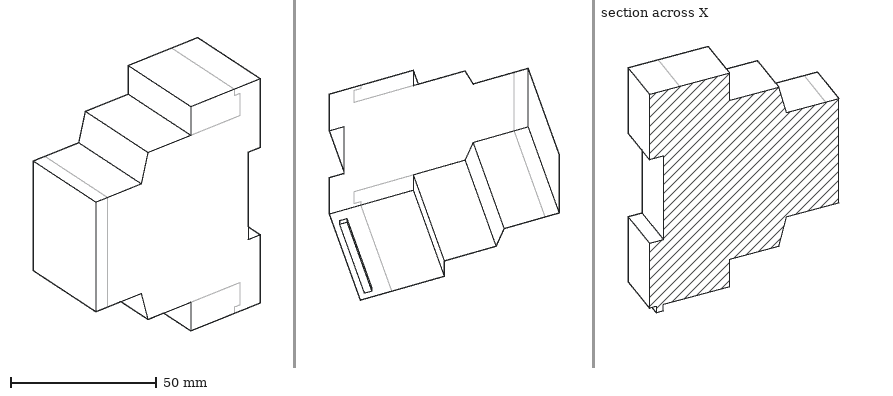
import cadquery as cq

width = 35.05
depth = 71.88
overall_height = 92.71
body_height = 90.0
half_height = body_height / 2

terminal_depth = 30.4
shoulder_depth = 49.1
neck_depth = 52.0
front_cover_thickness = 5.1
shoulder_half_height = 33.5
front_half_height = 22.0

rail_opening = 35.0
rail_recess_depth = 5.3
rail_top = 17.4
rail_bottom = rail_top - rail_opening

cover_rear = -8.9
cover_step_depth = 2.5
cover_step_height = 2.6
cover_step_y = cover_rear - cover_step_depth
cover_step_z = half_height - cover_step_height

clip_width = 28.0
clip_thickness = 2.7
clip_height = overall_height - body_height


def extrude_profile(points):
    """Extrude a closed (Y, Z) outline over the full width, centred on X = 0."""
    return cq.Workplane("YZ").polyline(points).close().extrude(width / 2, both=True)


def make_body():
    """Middle of the housing, without the front cover and terminal covers."""
    front = -(depth - front_cover_thickness)
    upper = [
        (0, half_height),
        (cover_step_y, half_height),
        (cover_step_y, cover_step_z),
        (cover_rear, cover_step_z),
        (cover_rear, shoulder_half_height),
        (-shoulder_depth, shoulder_half_height),
        (-neck_depth, front_half_height),
        (front, front_half_height),
    ]
    lower = [(y, -z) for y, z in reversed(upper)]
    recess = [
        (0, rail_bottom),
        (-rail_recess_depth, rail_bottom),
        (-rail_recess_depth, rail_top),
        (0, rail_top),
    ]
    return extrude_profile(upper + lower + recess)


def make_terminal_cover(end):
    """Terminal cover at the upper (end = 1) or lower (end = -1) end."""
    outline = [
        (cover_step_y, half_height),
        (-terminal_depth, half_height),
        (-terminal_depth, shoulder_half_height),
        (cover_rear, shoulder_half_height),
        (cover_rear, cover_step_z),
        (cover_step_y, cover_step_z),
    ]
    return extrude_profile([(y, end * z) for y, z in outline])


def make_front_cover():
    """Flat panel closing the front of the housing."""
    panel = cq.Workplane("XY").box(width, front_cover_thickness, 2 * front_half_height)
    return panel.translate((0, -depth + front_cover_thickness / 2, 0))


def make_clip():
    """Tab whose front face lines up with the floor of the rail recess."""
    clip = cq.Workplane("XY").box(clip_width, clip_thickness, clip_height)
    clip_y = -rail_recess_depth + clip_thickness / 2
    return clip.translate((0, clip_y, -half_height - clip_height / 2))


result = make_body()
for end in (1, -1):
    result = result.union(make_terminal_cover(end), clean=False)
result = result.union(make_front_cover(), clean=False)
result = result.union(make_clip(), clean=False)